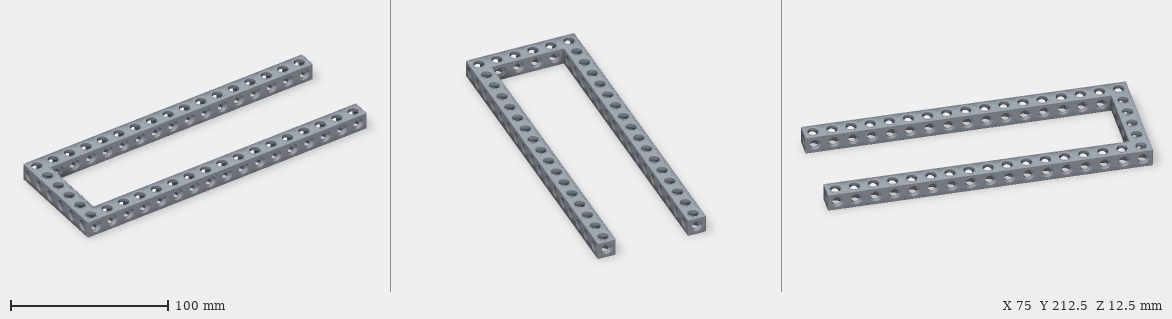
import cadquery as cq

long_count = 17
short_count = 6
length = 212.5
pitch = length / long_count
width = short_count * pitch

hole_diameter = 7.0
chamfer = 0.3
collar_diameter = 9.1
rim_thickness = 1.0
recess_depth = 0.2

hole_radius = hole_diameter / 2
mouth_radius = hole_radius + chamfer
along_x = cq.Vector(1, 0, 0)
along_y = cq.Vector(0, 1, 0)
along_z = cq.Vector(0, 0, 1)


def grid(count):
    """Centred hole positions along one side."""
    return [(i - (count - 1) / 2) * pitch for i in range(count)]


columns = grid(short_count)
rows = grid(long_count)
bar_row = rows[0]
upright_points = [(x, y) for x in (columns[0], columns[-1]) for y in rows]
upright_points += [(x, bar_row) for x in columns[1:-1]]


def u_prism(inset, bottom, height):
    """U-shaped prism, open towards +Y, whose outline is moved inwards by the inset."""
    outer = (
        cq.Workplane("XY", origin=(0, 0, bottom))
        .rect(width - 2 * inset, length - 2 * inset)
        .extrude(height)
    )
    gap_width = width - 2 * pitch + 2 * inset
    gap = (
        cq.Workplane("XY", origin=(0, pitch - inset, bottom))
        .rect(gap_width, length)
        .extrude(height)
    )
    return outer.cut(gap)


def hole(start, direction, depth):
    """Tools for a through hole of the given depth with a chamfer at both mouths."""
    end = start + direction * depth
    bore = cq.Solid.makeCylinder(hole_radius, depth, start, direction)
    entry = cq.Solid.makeCone(mouth_radius, hole_radius, chamfer, start, direction)
    leave = cq.Solid.makeCone(mouth_radius, hole_radius, chamfer, end, -direction)
    return bore.fuse(entry, leave)


def upright_holes():
    """Holes along Z: one at every grid position of the U."""
    return [hole(cq.Vector(x, y, -pitch / 2), along_z, pitch) for x, y in upright_points]


def cross_holes():
    """Holes along X: one in each arm at every row, and one right through the bar."""
    tools = [hole(cq.Vector(-width / 2, bar_row, 0), along_x, width)]
    for y in rows[1:]:
        for x in (-width / 2, width / 2 - pitch):
            tools.append(hole(cq.Vector(x, y, 0), along_x, pitch))
    return tools


def lengthwise_holes():
    """Holes along Y: through the full length of both arms, and through the bar between them."""
    front = -length / 2
    tools = [hole(cq.Vector(x, front, 0), along_y, length) for x in (columns[0], columns[-1])]
    tools += [hole(cq.Vector(x, front, 0), along_y, pitch) for x in columns[1:-1]]
    return tools


def top_recess():
    """Shallow recess in the top face that leaves a rim and a collar around each hole."""
    floor_height = pitch / 2 - recess_depth
    collars = (
        cq.Workplane("XY", origin=(0, 0, floor_height))
        .pushPoints(upright_points)
        .circle(collar_diameter / 2)
        .extrude(recess_depth)
    )
    return u_prism(rim_thickness, floor_height, recess_depth).cut(collars)


body = u_prism(0, -pitch / 2, pitch).edges().chamfer(chamfer)
body = body.cut(top_recess())
for tools in (upright_holes(), cross_holes(), lengthwise_holes()):
    body = body.cut(cq.Workplane(cq.Compound.makeCompound(tools)))
result = body